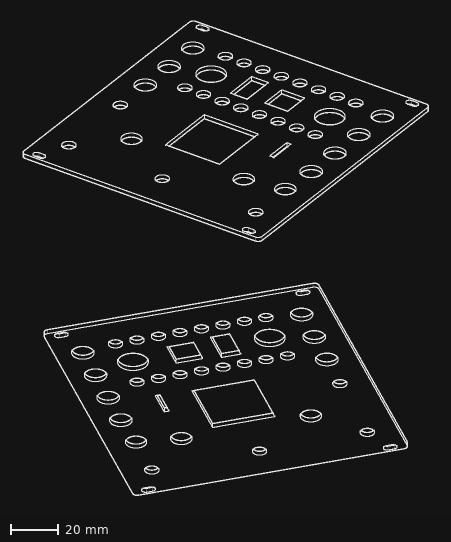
import cadquery as cq

PANEL_WIDTH = 121.5
PANEL_HEIGHT = 128.5
PANEL_THICKNESS = 2.0
CORNER_RADIUS = 2.0

SLOT_LENGTH = 5.9
SLOT_WIDTH = 3.2
SLOT_X = 53.5
SLOT_Y = 61.4

SMALL_DIAMETER = 6.0
ROW_COUNT = 8
ROW_PITCH = 9.5
ROW_CENTER_X = 0.4
UPPER_ROW_Y = 48.2
LOWER_ROW_Y = 17.7

COLUMN_DIAMETER = 9.5
COLUMN_TOP_Y = 45.9
COLUMN_PITCH = 17.9
LEFT_COLUMN_X = -47.9
LEFT_COLUMN_COUNT = 3
RIGHT_COLUMN_X = 48.8
RIGHT_COLUMN_COUNT = 4

LARGE_DIAMETER = 13.0
LARGE_LEFT_X = -29.8
LARGE_RIGHT_X = 30.7
MID_ROW_Y = (UPPER_ROW_Y + LOWER_ROW_Y) / 2

MEDIUM_DIAMETER = 9
MEDIUM_PAIR_X = 28.7
MEDIUM_PAIR_Y = -28.7
MEDIUM_SIDE_Y = -25.5

BOTTOM_HOLE_X = 47.7
BOTTOM_HOLE_Y = -47.7
LEFT_SINGLE_Y = -9

TALL_WINDOW = (-10.3, MID_ROW_Y, 8.5, 15.9)
SQUARE_WINDOW = (7.7, MID_ROW_Y, 11.7, 12.7)
NARROW_WINDOW = (28.4, -0.8, 2.0, 12.7)
DISPLAY_WINDOW = (-0.3, -10.0, 27.5, 29.0)


def make_blank():
    blank = cq.Workplane("XY").box(PANEL_WIDTH, PANEL_HEIGHT, PANEL_THICKNESS)
    return blank.edges("|Z").fillet(CORNER_RADIUS)


def cut_holes(panel, centers, diameter):
    return panel.faces(">Z").workplane(origin=(0, 0, 0)).pushPoints(centers).hole(diameter)


def cut_window(panel, window):
    center_x, center_y, width, height = window
    cutter = cq.Workplane("XY").box(width, height, 2 * PANEL_THICKNESS)
    return panel.cut(cutter.translate((center_x, center_y, 0)))


def cut_mounting_slots(panel):
    centers = [(x, y) for x in (-SLOT_X, SLOT_X) for y in (-SLOT_Y, SLOT_Y)]
    top = panel.faces(">Z").workplane(origin=(0, 0, 0))
    return top.pushPoints(centers).slot2D(SLOT_LENGTH, SLOT_WIDTH).cutThruAll()


def row_centers(y):
    first_x = ROW_CENTER_X - (ROW_COUNT - 1) * ROW_PITCH / 2
    return [(first_x + i * ROW_PITCH, y) for i in range(ROW_COUNT)]


def column_centers(x, count):
    return [(x, COLUMN_TOP_Y - i * COLUMN_PITCH) for i in range(count)]


small_centers = row_centers(UPPER_ROW_Y) + row_centers(LOWER_ROW_Y)
small_centers += [(x, BOTTOM_HOLE_Y) for x in (-BOTTOM_HOLE_X, 0, BOTTOM_HOLE_X)]
small_centers.append((-BOTTOM_HOLE_X, LEFT_SINGLE_Y))

side_centers = column_centers(LEFT_COLUMN_X, LEFT_COLUMN_COUNT)
side_centers += column_centers(RIGHT_COLUMN_X, RIGHT_COLUMN_COUNT)

large_centers = [(LARGE_LEFT_X, MID_ROW_Y), (LARGE_RIGHT_X, MID_ROW_Y)]

medium_centers = [(x, MEDIUM_PAIR_Y) for x in (-MEDIUM_PAIR_X, MEDIUM_PAIR_X)]
medium_centers.append((BOTTOM_HOLE_X, MEDIUM_SIDE_Y))

result = cut_mounting_slots(make_blank())
result = cut_holes(result, small_centers, SMALL_DIAMETER)
result = cut_holes(result, side_centers, COLUMN_DIAMETER)
result = cut_holes(result, large_centers, LARGE_DIAMETER)
result = cut_holes(result, medium_centers, MEDIUM_DIAMETER)

for window in (TALL_WINDOW, SQUARE_WINDOW, NARROW_WINDOW, DISPLAY_WINDOW):
    result = cut_window(result, window)